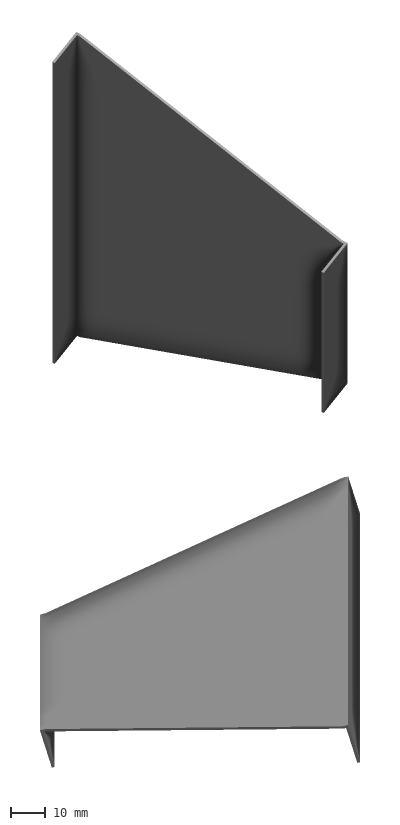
import cadquery as cq

width = 92.0
depth = 13.0
tall_height = 137.4
short_height = 64.0
thickness = 0.8
land = 1.6

half_width = width / 2
half_tall = tall_height / 2
half_short = short_height / 2
taper_end = half_width - land


def flange(x_start, height):
    """Vertical flange spanning the full depth, centred on Y and Z."""
    plate = cq.Workplane("XY").box(thickness, depth, height, centered=(False, True, True))
    return plate.translate((x_start, 0, 0))


web_upper_edge = [
    (-half_width, half_tall),
    (-taper_end, half_tall),
    (taper_end, half_short),
    (half_width, half_short),
]
web_lower_edge = [(x, -z) for x, z in reversed(web_upper_edge)]
web = (
    cq.Workplane("XZ", origin=(0, depth / 2, 0))
    .polyline(web_upper_edge + web_lower_edge)
    .close()
    .extrude(thickness)
)

tall_flange = flange(-half_width, tall_height)
short_flange = flange(half_width - thickness, short_height)

result = web.union(tall_flange).union(short_flange)